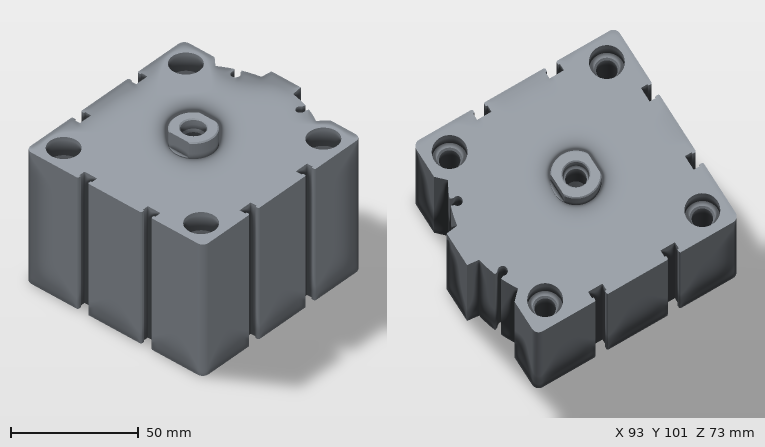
import cadquery as cq
import math

SIDE = 93.0
HALF = SIDE / 2
LENGTH_WITH_TAB = 101.0
HEIGHT = 65.0
CORNER_RADIUS = 3.0

CROWN_RADIUS = 50.0
NOTCH_START_X = 30.3
TAB_TOP_Y = LENGTH_WITH_TAB - HALF
TAB_TOP_HALF_WIDTH = 7.7
TAB_ROOT_HALF_WIDTH = 8.3

KEYHOLE_X = 17.0
KEYHOLE_Y = 43.8
KEYHOLE_DIAMETER = 4.0
KEYHOLE_MOUTH = 2.9

SLOT_OFFSET = 16.6
SLOT_MOUTH = 5.2
SLOT_WIDTH = 6.6
SLOT_LIP = 1.7
SLOT_DEPTH = 4.7
SLOT_CHAMFER = 0.4

MOUNT_OFFSET = 36.0
MOUNT_DIAMETER = 8.4
MOUNT_SINK_DIAMETER = 10.0
MOUNT_BORE_DIAMETER = 14.0
MOUNT_BORE_DEPTH = 9.0

ROD_DIAMETER = 20.0
ROD_REACH = 8.0
ROD_INSERTION = 25.2
ROD_CHAMFER = 0.5
FLAT_DISTANCE = 8.5
FLAT_CLEARANCE = 0.5

ROD_HOLE_DIAMETER = 8.5
ROD_HOLE_DEPTH = 20.2
ROD_BORE_DIAMETER = 10.5
ROD_BORE_DEPTH = 4.7
ROD_HOLE_CHAMFER = 0.5
DRILL_HALF_ANGLE = math.radians(60)

ROD_TOP = HEIGHT + ROD_REACH
ROD_BOTTOM = HEIGHT - ROD_INSERTION


def housing_outline():
    """Square outline, with a crown and a tab between two notches on its +Y side."""
    middle = (NOTCH_START_X + HALF) / 2
    half_gap = (HALF - NOTCH_START_X) / 2
    notch_depth = middle - math.sqrt(CROWN_RADIUS**2 / 2 - half_gap**2)
    foot_x = NOTCH_START_X - notch_depth
    foot_y = HALF - notch_depth
    root_y = math.sqrt(CROWN_RADIUS**2 - TAB_ROOT_HALF_WIDTH**2)
    mid_angle = (math.asin(foot_x / CROWN_RADIUS) + math.asin(TAB_ROOT_HALF_WIDTH / CROWN_RADIUS)) / 2
    mid_x = CROWN_RADIUS * math.sin(mid_angle)
    mid_y = CROWN_RADIUS * math.cos(mid_angle)
    return (
        cq.Workplane("XY")
        .moveTo(-HALF, -HALF)
        .lineTo(-HALF, HALF)
        .lineTo(-NOTCH_START_X, HALF)
        .lineTo(-foot_x, foot_y)
        .threePointArc((-mid_x, mid_y), (-TAB_ROOT_HALF_WIDTH, root_y))
        .lineTo(-TAB_TOP_HALF_WIDTH, TAB_TOP_Y)
        .lineTo(TAB_TOP_HALF_WIDTH, TAB_TOP_Y)
        .lineTo(TAB_ROOT_HALF_WIDTH, root_y)
        .threePointArc((mid_x, mid_y), (foot_x, foot_y))
        .lineTo(NOTCH_START_X, HALF)
        .lineTo(HALF, HALF)
        .lineTo(HALF, -HALF)
        .close()
    )


def block():
    """Extruded outline with its four outer corners rounded."""
    prism = housing_outline().extrude(HEIGHT)
    return prism.edges("|Z and (<X or >X)").fillet(CORNER_RADIUS)


def keyhole_groove(side):
    """Round groove with a narrower mouth that opens radially; side is -1 for -X and 1 for +X."""
    radius = math.hypot(KEYHOLE_X, KEYHOLE_Y)
    mouth_length = TAB_TOP_Y - radius
    groove = cq.Workplane("XY").center(0, radius).circle(KEYHOLE_DIAMETER / 2).extrude(HEIGHT)
    mouth = (
        cq.Workplane("XY")
        .center(0, radius + mouth_length / 2)
        .rect(KEYHOLE_MOUTH, mouth_length)
        .extrude(HEIGHT)
    )
    tilt = -side * math.degrees(math.atan2(KEYHOLE_X, KEYHOLE_Y))
    return groove.union(mouth).rotate((0, 0, 0), (0, 0, 1), tilt)


def t_slot(offset, turn):
    """T-slot with a chamfered mouth in the -Y face at X = offset, turned about Z by the given degrees."""
    mouth_half = SLOT_MOUTH / 2
    slot_half = SLOT_WIDTH / 2
    rim_half = mouth_half + SLOT_CHAMFER
    slot = (
        cq.Workplane("XY", origin=(offset, -HALF, 0))
        .moveTo(-rim_half, 0)
        .lineTo(-mouth_half, SLOT_CHAMFER)
        .lineTo(-mouth_half, SLOT_LIP)
        .lineTo(-slot_half, SLOT_LIP)
        .lineTo(-slot_half, SLOT_DEPTH)
        .lineTo(slot_half, SLOT_DEPTH)
        .lineTo(slot_half, SLOT_LIP)
        .lineTo(mouth_half, SLOT_LIP)
        .lineTo(mouth_half, SLOT_CHAMFER)
        .lineTo(rim_half, 0)
        .close()
        .extrude(HEIGHT)
    )
    return slot.rotate((0, 0, 0), (0, 0, 1), turn)


def mounting_hole(x, y):
    """Through hole, countersunk at the floor of a deep counterbore."""
    floor = HEIGHT - MOUNT_BORE_DEPTH
    hole_radius = MOUNT_DIAMETER / 2
    sink_radius = MOUNT_SINK_DIAMETER / 2
    bore_radius = MOUNT_BORE_DIAMETER / 2
    profile = (
        cq.Workplane("XZ")
        .moveTo(0, 0)
        .lineTo(hole_radius, 0)
        .lineTo(hole_radius, floor - (sink_radius - hole_radius))
        .lineTo(sink_radius, floor)
        .lineTo(bore_radius, floor)
        .lineTo(bore_radius, HEIGHT)
        .lineTo(0, HEIGHT)
        .close()
    )
    return profile.revolve(360, (0, 0, 0), (0, 1, 0)).translate((x, y, 0))


def rod_socket():
    """Blind hole in the housing that holds the rod."""
    return cq.Workplane("XY").workplane(offset=ROD_BOTTOM).circle(ROD_DIAMETER / 2).extrude(ROD_INSERTION)


def make_housing():
    body = block()
    for side in (-1, 1):
        body = body.cut(keyhole_groove(side))
        for turn in (-90, 0, 90):
            body = body.cut(t_slot(side * SLOT_OFFSET, turn))
        for end in (-1, 1):
            body = body.cut(mounting_hole(side * MOUNT_OFFSET, end * MOUNT_OFFSET))
    return body.cut(rod_socket())


def rod_hole():
    """Chamfered bore that steps down through a 45 degree cone to a drilled hole with a conical end."""
    hole_radius = ROD_HOLE_DIAMETER / 2
    bore_radius = ROD_BORE_DIAMETER / 2
    rim_radius = bore_radius + ROD_HOLE_CHAMFER
    bore_floor = ROD_TOP - ROD_BORE_DEPTH
    step_floor = bore_floor - (bore_radius - hole_radius)
    drill_floor = ROD_TOP - ROD_HOLE_DEPTH
    drill_tip = drill_floor - hole_radius / math.tan(DRILL_HALF_ANGLE)
    profile = (
        cq.Workplane("XZ")
        .moveTo(0, drill_tip)
        .lineTo(hole_radius, drill_floor)
        .lineTo(hole_radius, step_floor)
        .lineTo(bore_radius, bore_floor)
        .lineTo(bore_radius, ROD_TOP - ROD_HOLE_CHAMFER)
        .lineTo(rim_radius, ROD_TOP)
        .lineTo(0, ROD_TOP)
        .close()
    )
    return profile.revolve(360, (0, 0, 0), (0, 1, 0))


def make_rod():
    shaft = (
        cq.Workplane("XY")
        .workplane(offset=ROD_BOTTOM)
        .circle(ROD_DIAMETER / 2)
        .extrude(ROD_TOP - ROD_BOTTOM)
        .faces(">Z")
        .chamfer(ROD_CHAMFER)
    )
    flat_height = ROD_REACH - FLAT_CLEARANCE
    for side in (-1, 1):
        flat = (
            cq.Workplane("XY")
            .workplane(offset=ROD_TOP - flat_height)
            .center(0, side * (FLAT_DISTANCE + ROD_DIAMETER / 2))
            .rect(ROD_DIAMETER, ROD_DIAMETER)
            .extrude(flat_height)
        )
        shaft = shaft.cut(flat)
    return shaft.cut(rod_hole())


housing = make_housing()
rod = make_rod()
result = cq.Compound.makeCompound([housing.val(), rod.val()])